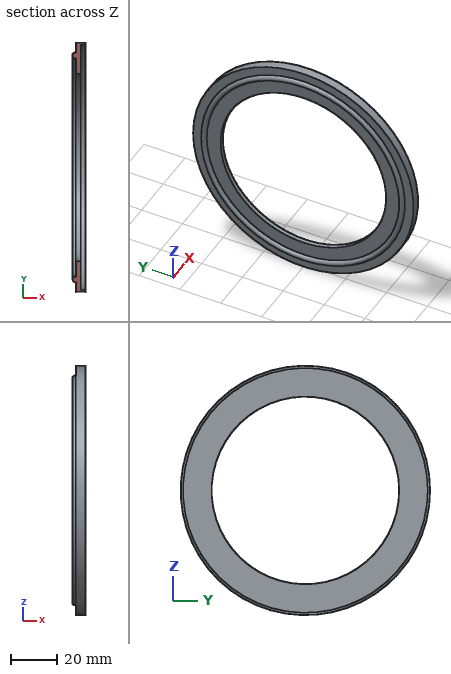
import cadquery as cq

outer_diameter = 108.0
bore_diameter = 81.0
total_width = 5.8
rim_width = 4.3
web_thickness = 2.3
lip_thickness = 1.1

bead_center_diameter = 97.0
bead_radius = 1.3

back_x = total_width / 2
face_x = back_x - rim_width
bead_height = total_width - rim_width
bead_side_height = bead_height - bead_radius
recess_diameter = outer_diameter - 2 * lip_thickness


def make_rim_and_web():
    ring = (
        cq.Workplane("YZ", origin=(face_x, 0, 0))
        .circle(outer_diameter / 2)
        .circle(bore_diameter / 2)
        .extrude(rim_width)
    )
    recess = (
        cq.Workplane("YZ", origin=(face_x + web_thickness, 0, 0))
        .circle(recess_diameter / 2)
        .extrude(rim_width - web_thickness)
    )
    return ring.cut(recess)


def make_bead():
    center_radius = bead_center_diameter / 2
    inner_radius = center_radius - bead_radius
    outer_radius = center_radius + bead_radius
    root_x = face_x + web_thickness / 2
    side_x = face_x - bead_side_height
    crest_x = face_x - bead_height
    return (
        cq.Workplane("XY")
        .moveTo(root_x, inner_radius)
        .lineTo(side_x, inner_radius)
        .threePointArc((crest_x, center_radius), (side_x, outer_radius))
        .lineTo(root_x, outer_radius)
        .close()
        .revolve(360, (0, 0, 0), (1, 0, 0))
    )


result = make_rim_and_web().union(make_bead())